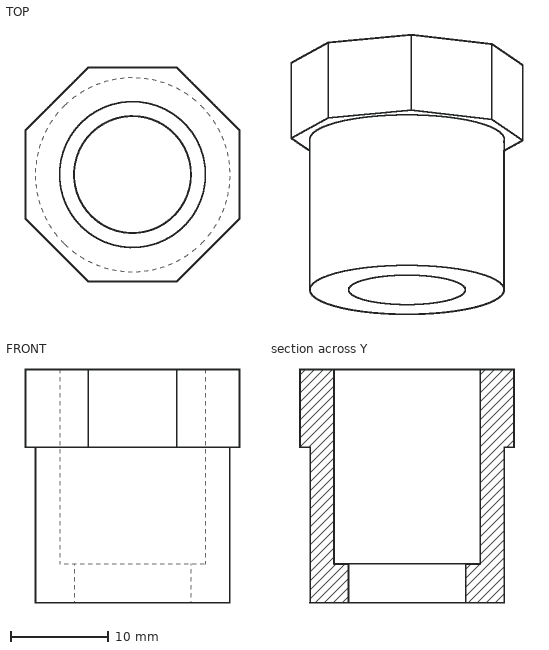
import cadquery as cq

total_height = 24.0
head_height = 8.02
head_across_flats = 22.0
barrel_diameter = 20.0
socket_diameter = 15.0
bore_diameter = 12.0
stop_ring_height = 4.0

barrel_height = total_height - head_height
socket_depth = total_height - stop_ring_height


def octagonal_head():
    """Octagonal prism with flats facing X and Y, sitting on the barrel."""
    square = cq.Workplane("XY").rect(head_across_flats, head_across_flats).extrude(head_height)
    turned_square = square.rotate((0, 0, 0), (0, 0, 1), 45)
    return square.intersect(turned_square).translate((0, 0, barrel_height))


def barrel():
    """Round barrel below the head, with its base at Z = 0."""
    return cq.Workplane("XY").circle(barrel_diameter / 2).extrude(barrel_height)


def stepped_bore():
    """Through bore opened out to a wider socket from the top."""
    bore = cq.Workplane("XY").circle(bore_diameter / 2).extrude(total_height)
    socket = (
        cq.Workplane("XY")
        .workplane(offset=stop_ring_height)
        .circle(socket_diameter / 2)
        .extrude(socket_depth)
    )
    return bore.union(socket)


result = barrel().union(octagonal_head()).cut(stepped_bore())